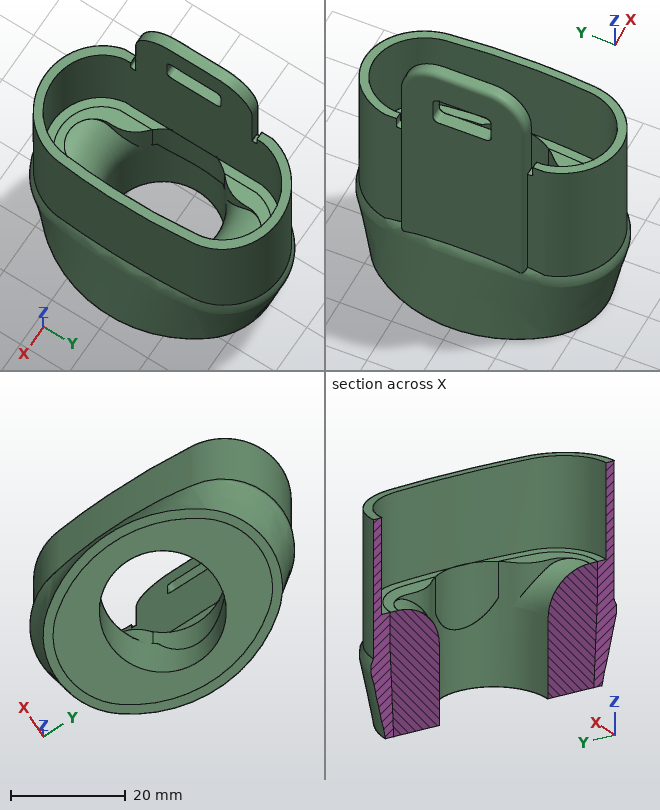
import cadquery as cq
import math

TOTAL_HEIGHT = 59.7
SHOULDER_HEIGHT = 17.0
LEDGE_HEIGHT = 23.9
RIM_HEIGHT = 42.25
RIM_SLOPE = 0.098

SLEEVE_HALF_X = 12.5
SLEEVE_HALF_Y = 24.6
SLEEVE_END_RADIUS = 11.8
SLEEVE_SHIFT_X = 0.1
SLEEVE_FLAT_X = -11.4
WALL = 1.75

FOOT_HALF_X = 17.0
FOOT_HALF_Y = 22.15
FOOT_END_RADIUS = 14.3
SHOULDER_HALF_X = 13.15
SHOULDER_HALF_Y = 25.95
SHOULDER_END_RADIUS = 12.7
SHOULDER_SHIFT_X = 0.25
SHOULDER_ROUND = 3.05

TAB_BOTTOM = 13.15
TAB_FRONT_X = -12.4
TAB_BACK_X = -9.85
TAB_HALF_WIDTH = 12.1
TAB_CORNER_RADIUS = 7.4
WINDOW_HALF_WIDTH = 5.6
WINDOW_BOTTOM = 47.5
WINDOW_TOP = 53.3
WINDOW_CORNER_RADIUS = 1.1

NOTCH_WIDTH = 1.0
NOTCH_BOTTOM = 41.15
NOTCH_CORNER_RADIUS = 0.35

BORE_RADIUS = 11.05
CHANNEL_HALF_WIDTH = 5.0
CHANNEL_END_Y = 19.5
CHANNEL_FLARE_RADIUS = 7.15


def oval(half_x, half_y, end_radius, height, shift_x=0.0):
    """Oval of four tangent arcs, long along Y, in the plane z = height."""
    end_center = half_y - end_radius
    side_radius = (end_center**2 + half_x**2 - end_radius**2) / (2 * (half_x - end_radius))
    corner_angle = math.atan2(end_center, side_radius - half_x)
    x = end_radius * math.cos(corner_angle)
    y = end_center + end_radius * math.sin(corner_angle)
    return (
        cq.Workplane("XY", origin=(shift_x, 0, height))
        .moveTo(x, -y)
        .threePointArc((half_x, 0), (x, y))
        .threePointArc((0, half_y), (-x, y))
        .threePointArc((-half_x, 0), (-x, -y))
        .threePointArc((0, -half_y), (x, -y))
        .close()
    )


def sleeve_oval(inset, height):
    """Sleeve outline moved inwards by a constant distance."""
    sizes = (SLEEVE_HALF_X - inset, SLEEVE_HALF_Y - inset, SLEEVE_END_RADIUS - inset)
    return oval(*sizes, height, SLEEVE_SHIFT_X)


def foot_oval(inset):
    """Ground outline moved inwards by a constant distance."""
    return oval(FOOT_HALF_X - inset, FOOT_HALF_Y - inset, FOOT_END_RADIUS - inset, 0)


def block(x_min, x_max, half_y, z_min, z_max):
    """Box centred on the XZ plane."""
    sides = (x_max - x_min, 2 * half_y, z_max - z_min)
    return cq.Workplane("XY").box(*sides, centered=(False, True, False)).translate((x_min, 0, z_min))


def flattened_column(inset, flat_x, z_min, z_max):
    """Upright column of the inset sleeve oval, cut flat on its -X side."""
    column = sleeve_oval(inset, z_min).extrude(z_max - z_min)
    return column.intersect(block(flat_x, SLEEVE_HALF_X + WALL, SLEEVE_HALF_Y + WALL, z_min, z_max))


def make_base():
    """Flared base: a wide oval blending up into a narrower, longer one, with a rounded shoulder."""
    foot = foot_oval(0)
    shoulder = oval(
        SHOULDER_HALF_X, SHOULDER_HALF_Y, SHOULDER_END_RADIUS, SHOULDER_HEIGHT, SHOULDER_SHIFT_X
    )
    flare = cq.Workplane(cq.Solid.makeLoft([foot.val(), shoulder.val()], True))
    return flare.faces(">Z").edges().fillet(SHOULDER_ROUND)


def make_sleeve():
    """Oval tube with a sloping rim; its pocket stops at the ledge."""
    reach = SLEEVE_HALF_X + WALL
    below_rim = (
        cq.Workplane("XZ")
        .moveTo(-reach, 0)
        .lineTo(reach, 0)
        .lineTo(reach, RIM_HEIGHT - RIM_SLOPE * reach)
        .lineTo(-reach, RIM_HEIGHT + RIM_SLOPE * reach)
        .close()
        .extrude(SLEEVE_HALF_Y + WALL, both=True)
    )
    pocket = flattened_column(WALL, TAB_BACK_X, LEDGE_HEIGHT, TOTAL_HEIGHT)
    column = flattened_column(0, SLEEVE_FLAT_X, TAB_BOTTOM, TOTAL_HEIGHT)
    return column.intersect(below_rim).cut(pocket)


def make_notches():
    """Cutter that frees the sides of the tab from the rim."""
    half_width = TAB_HALF_WIDTH + NOTCH_WIDTH
    cutter = block(TAB_FRONT_X, TAB_BACK_X + WALL, half_width, NOTCH_BOTTOM, TOTAL_HEIGHT)
    return cutter.edges("|X and <Z").fillet(NOTCH_CORNER_RADIUS)


def make_tab():
    """Upright tab with round top corners, a rounded front edge and a hand window."""
    tab = block(TAB_FRONT_X, TAB_BACK_X, TAB_HALF_WIDTH, TAB_BOTTOM, TOTAL_HEIGHT)
    tab = tab.edges("|X and >Z").fillet(TAB_CORNER_RADIUS)
    tab = tab.faces("<X").edges("not <Z").fillet(SLEEVE_FLAT_X - TAB_FRONT_X)
    window = block(TAB_FRONT_X, TAB_BACK_X, WINDOW_HALF_WIDTH, WINDOW_BOTTOM, WINDOW_TOP)
    return tab.cut(window.edges("|X").fillet(WINDOW_CORNER_RADIUS))


def make_bore():
    """Round bore from the ground up to the pocket floor."""
    return cq.Workplane("XY").circle(BORE_RADIUS).extrude(LEDGE_HEIGHT)


def make_channel_plan():
    """Prism of the +Y channel: a round end, straight sides and flares tangent to the bore."""
    end_center = CHANNEL_END_Y - CHANNEL_HALF_WIDTH
    flare_x = CHANNEL_HALF_WIDTH + CHANNEL_FLARE_RADIUS
    flare_y = math.sqrt((BORE_RADIUS + CHANNEL_FLARE_RADIUS) ** 2 - flare_x**2)
    bore_angle = math.atan2(flare_y, flare_x)
    mouth_x = BORE_RADIUS * math.cos(bore_angle)
    mouth_y = BORE_RADIUS * math.sin(bore_angle)
    middle_x = flare_x - CHANNEL_FLARE_RADIUS * math.cos(bore_angle / 2)
    middle_y = flare_y - CHANNEL_FLARE_RADIUS * math.sin(bore_angle / 2)
    return (
        cq.Workplane("XY")
        .moveTo(-mouth_x, mouth_y)
        .threePointArc((-middle_x, middle_y), (-CHANNEL_HALF_WIDTH, flare_y))
        .lineTo(-CHANNEL_HALF_WIDTH, end_center)
        .threePointArc((0, CHANNEL_END_Y), (CHANNEL_HALF_WIDTH, end_center))
        .lineTo(CHANNEL_HALF_WIDTH, flare_y)
        .threePointArc((middle_x, middle_y), (mouth_x, mouth_y))
        .close()
        .extrude(LEDGE_HEIGHT)
    )


def make_channels():
    """Both channels; their floors follow one quarter-round lip turned about the bore axis."""
    lip_radius = CHANNEL_END_Y - BORE_RADIUS
    lip_bottom = LEDGE_HEIGHT - lip_radius
    half_way = lip_radius * math.sqrt(0.5)
    above_lip = (
        cq.Workplane("XZ")
        .moveTo(0, lip_bottom)
        .lineTo(BORE_RADIUS, lip_bottom)
        .threePointArc((CHANNEL_END_Y - half_way, lip_bottom + half_way), (CHANNEL_END_Y, LEDGE_HEIGHT))
        .lineTo(0, LEDGE_HEIGHT)
        .close()
        .revolve(360, (0, 0, 0), (0, 1, 0))
    )
    channel = make_channel_plan().intersect(above_lip)
    return channel.union(channel.mirror("XZ"))


def make_core_blank():
    """Filling of the base: a flared foot below an oval neck that reaches the pocket floor."""
    foot = foot_oval(WALL)
    neck_bottom = sleeve_oval(2 * WALL, SHOULDER_HEIGHT)
    flare = cq.Workplane(cq.Solid.makeLoft([foot.val(), neck_bottom.val()], True))
    neck = flattened_column(2 * WALL, TAB_BACK_X + WALL, SHOULDER_HEIGHT, LEDGE_HEIGHT)
    return flare.union(neck)


def make_housing():
    """Base, sleeve and tab in one piece, hollow where the core and the bore sit."""
    sleeve = make_sleeve().cut(make_notches())
    housing = make_base().union(sleeve).union(make_tab())
    return housing.cut(make_core_blank()).cut(make_bore())


def make_core():
    """Core inside the housing, with the bore and the channels that lead into it."""
    return make_core_blank().cut(make_bore()).cut(make_channels())


housing = make_housing()
core = make_core()
result = cq.Compound.makeCompound([housing.val(), core.val()])